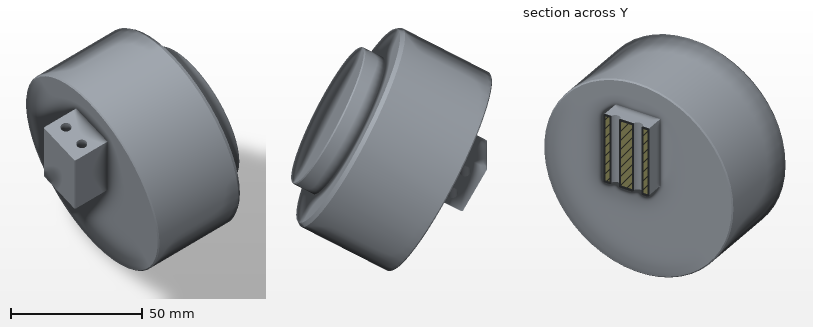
import cadquery as cq

drum_diameter = 85.0
drum_length = 39.5
front_chamfer = 0.5
rear_chamfer_length = 1.5
rear_chamfer_depth = 1.1

boss_diameter = 58.5
boss_length = 9.0
boss_chamfer_length = 0.5
boss_chamfer_depth = 0.29

lug_width = 20.0
lug_length = 15.5
lug_height = 30.0
lug_chamfer_length = 0.5
lug_chamfer_depth = 0.29

hole_diameter = 4.2
hole_spacing = 10.0
hole_distance_from_drum = 8.5


def make_drum_and_boss():
    """Revolve the stepped, chamfered half profile (radius, Y) about the Y axis."""
    drum_radius = drum_diameter / 2
    boss_radius = boss_diameter / 2
    rear_face = drum_length + boss_length
    profile = [
        (0, 0),
        (drum_radius - front_chamfer, 0),
        (drum_radius, front_chamfer),
        (drum_radius, drum_length - rear_chamfer_length),
        (drum_radius - rear_chamfer_depth, drum_length),
        (boss_radius, drum_length),
        (boss_radius, rear_face - boss_chamfer_length),
        (boss_radius - boss_chamfer_depth, rear_face),
        (0, rear_face),
    ]
    return cq.Workplane("XY").polyline(profile).close().revolve(360, (0, 0, 0), (0, 1, 0))


def make_lug():
    """Block with its two upright front edges chamfered and two vertical holes."""
    half_width = lug_width / 2
    front_half_width = half_width - lug_chamfer_depth
    chamfer_start = -lug_length + lug_chamfer_length
    outline = [
        (-half_width, 0),
        (-half_width, chamfer_start),
        (-front_half_width, -lug_length),
        (front_half_width, -lug_length),
        (half_width, chamfer_start),
        (half_width, 0),
    ]
    block = cq.Workplane("XY").polyline(outline).close().extrude(lug_height)
    holes = (
        cq.Workplane("XY")
        .center(0, -hole_distance_from_drum)
        .rarray(hole_spacing, 0.85, 2, 1)
        .circle(hole_diameter / 2)
        .extrude(lug_height)
    )
    return block.cut(holes)


result = make_drum_and_boss().union(make_lug())